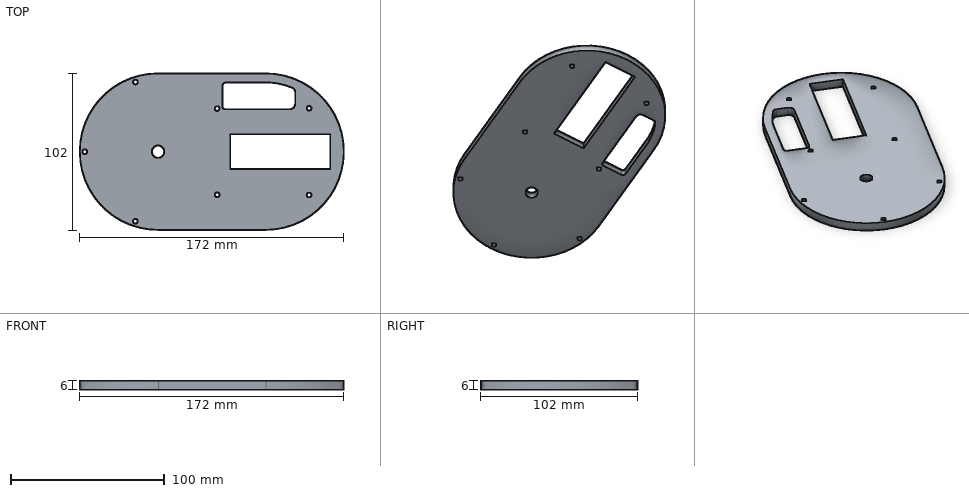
import cadquery as cq
import math

length = 172.0
width = 102.0
thickness = 6.0
end_radius = width / 2
end_center_x = length / 2 - end_radius

shaft_hole_diameter = 7.9
screw_hole_diameter = 3.0
rim_hole_radius = 47.6
rim_hole_spacing = 72.0

inner_screws = (3.5, 28.0)
outer_screws = (63.3, 28.2)

opening_left = 12.0
opening_length = 65.0
opening_width = 22.4

window_left = 7.0
window_right = 54.2
window_bottom = 27.7
window_top = 44.9
window_margin = 6.0
window_upper_left_fillet = 2.0
window_lower_left_fillet = 1.5
window_upper_right_fillet = 3.0
window_lower_right_fillet = 3.5


def holes(diameter, points):
    """Cylinders that pass through the whole plate at the given points."""
    return cq.Workplane("XY").pushPoints(points).circle(diameter / 2).extrude(thickness)


def make_window():
    """Cutter with a straight top that meets an arc concentric with the plate end."""
    arc_radius = end_radius - window_margin
    end_angle = math.acos((window_right - end_center_x) / arc_radius)
    start_angle = math.asin(window_top / arc_radius)
    middle_angle = (start_angle + end_angle) / 2

    def arc_point(angle):
        return (end_center_x + arc_radius * math.cos(angle), arc_radius * math.sin(angle))

    window = (
        cq.Workplane("XY")
        .moveTo(window_left, window_bottom)
        .lineTo(window_left, window_top)
        .lineTo(*arc_point(start_angle))
        .threePointArc(arc_point(middle_angle), arc_point(end_angle))
        .lineTo(window_right, window_bottom)
        .close()
        .extrude(thickness)
    )
    corner_fillets = (
        ((window_left, window_top), window_upper_left_fillet),
        ((window_left, window_bottom), window_lower_left_fillet),
        (arc_point(end_angle), window_upper_right_fillet),
        ((window_right, window_bottom), window_lower_right_fillet),
    )
    for corner, radius in corner_fillets:
        corner_edge = cq.selectors.NearestToPointSelector((*corner, thickness / 2))
        window = window.edges(corner_edge).fillet(radius)
    return window


plate = cq.Workplane("XY").slot2D(length, width).extrude(thickness)

rim_points = []
for step in (-1, 0, 1):
    angle = math.radians(180 + step * rim_hole_spacing)
    rim_points.append((-end_center_x + rim_hole_radius * math.cos(angle), rim_hole_radius * math.sin(angle)))

screw_points = []
for x, offset in (inner_screws, outer_screws):
    screw_points += [(x, offset), (x, -offset)]

opening = cq.Workplane("XY").box(opening_length, opening_width, thickness, centered=(False, True, False))

result = (
    plate
    .cut(holes(shaft_hole_diameter, [(-end_center_x, 0)]))
    .cut(holes(screw_hole_diameter, rim_points + screw_points))
    .cut(opening.translate((opening_left, 0, 0)))
    .cut(make_window())
)